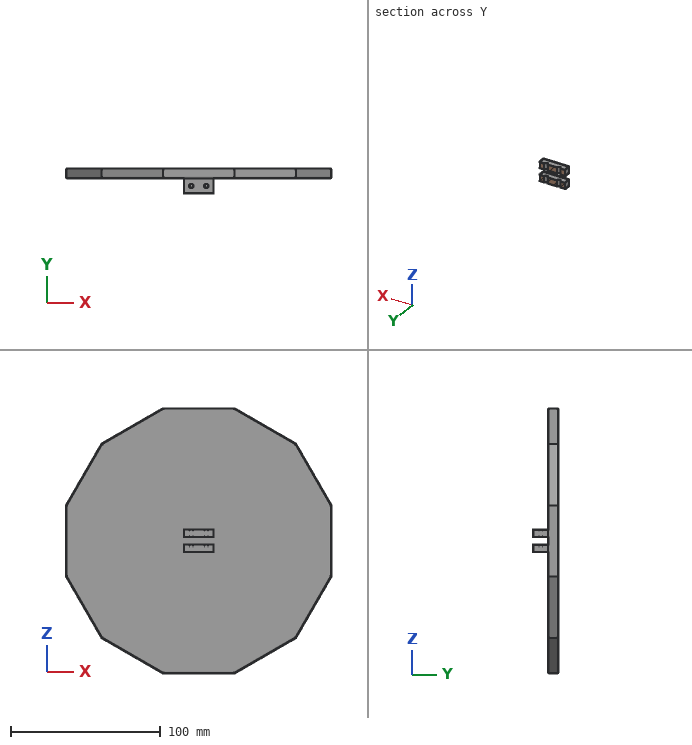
import cadquery as cq
import math

side_count = 12
plate_width_across_flats = 176.77
plate_thickness = 6.8
edge_fillet = 1.2

lug_width = 20.0
lug_reach = 10.0
lug_thickness = 5.0
lug_gap = 5.0

hole_diameter = 2.5
hole_spacing = 10.0

lug_offset = (lug_gap + lug_thickness) / 2
lug_stack_height = lug_gap + 2 * lug_thickness


def make_plate():
    """Dodecagon with flats facing X and Z; front face at Y = 0, rounded rims."""
    half_side_angle = 180.0 / side_count
    corner_diameter = plate_width_across_flats / math.cos(math.radians(half_side_angle))
    plate = (
        cq.Workplane("XY")
        .polygon(side_count, corner_diameter)
        .extrude(plate_thickness)
        .rotate((0, 0, 0), (0, 0, 1), half_side_angle)
        .rotate((0, 0, 0), (1, 0, 0), -90)
    )
    return plate.faces("<Y or >Y").edges().fillet(edge_fillet)


def make_lug(center_height):
    """Rectangular block reaching forward from the plate's front face."""
    return (
        cq.Workplane("XY")
        .box(lug_width, lug_reach, lug_thickness)
        .translate((0, -lug_reach / 2, center_height))
    )


def make_pin_holes():
    """Two vertical cylinders centred on the lugs, long enough to pass through both."""
    return (
        cq.Workplane("XY", origin=(0, -lug_reach / 2, -lug_stack_height / 2))
        .rarray(hole_spacing, 1, 2, 1)
        .circle(hole_diameter / 2)
        .extrude(lug_stack_height)
    )


result = make_plate()
for center_height in (-lug_offset, lug_offset):
    result = result.union(make_lug(center_height))
result = result.cut(make_pin_holes())